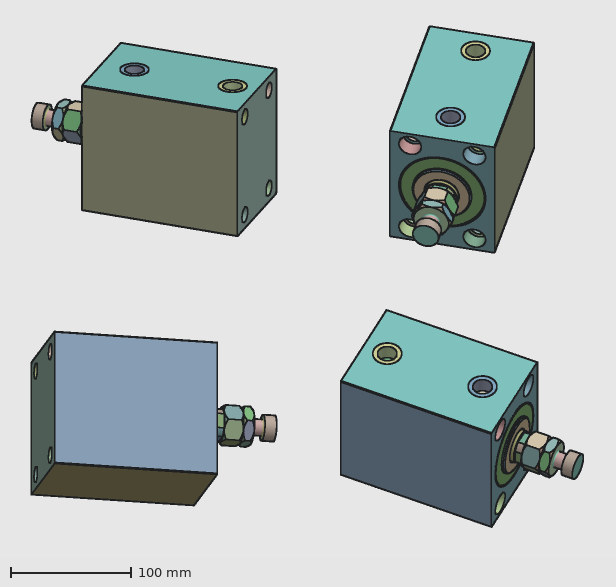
import cadquery as cq
import math

TOTAL_LENGTH = 196.5

BLOCK_START = 58.2
BLOCK_WIDTH = 90.0
BLOCK_HEIGHT = 115.0
BLOCK_LENGTH = TOTAL_LENGTH - BLOCK_START
BLOCK_EDGE_CHAMFER = 0.8
BORE_DIAMETER = 72.0
BORE_MOUTH_CHAMFER = 1.2
BORE_END_WALL = 7.9

MOUNT_SPACING_Y = 55.0
MOUNT_SPACING_Z = 90.0
MOUNT_HOLE_DIAMETER = 13.2
MOUNT_COUNTERBORE_DIAMETER = 19.0
MOUNT_COUNTERBORE_DEPTH = 13.8

FRONT_PORT_X = 87.5
PORT_SPACING = 87.5
PORT_SEAT_DIAMETER = 24.0
PORT_SEAT_DEPTH = 0.2
PORT_DIAMETER = 16.1
PORT_DEPTH = 13.8
PORT_PASSAGE_DIAMETER = 5.9

GLAND_COLLAR_START = 55.5
GLAND_COLLAR_DIAMETER = 50.3
GLAND_COLLAR_CHAMFER = 1.2
GLAND_END = 87.8
WIPER_RECESS_DIAMETER = 29.9
WIPER_RECESS_DEPTH = 2.0

ROD_DIAMETER = 28.0
ROD_NOSE_DIAMETER = 27.0
ROD_NOSE_START = 45.2
ROD_NOSE_END = 51.9
WRENCH_FLAT_WIDTH = 24.0
PISTON_END = TOTAL_LENGTH - BORE_END_WALL

HEAD_DIAMETER = 22.0
HEAD_LENGTH = 10.0
NECK_DIAMETER = 14.0
NECK_FILLET = 1.0
HEX_ACROSS_FLATS = 30.0
HEX_END_FACE_DIAMETER = 29.9
HEX_START = 19.6
HEX_SPLIT = 28.9
HEX_END = ROD_NOSE_START


def cylinder(diameter, start, end):
    """Cylinder on the X axis between two X positions."""
    return cq.Workplane("YZ", origin=(start, 0, 0)).circle(diameter / 2).extrude(end - start)


def vertical_hole(x, diameter, top, bottom):
    """Cutter for a vertical hole on the Y = 0 plane."""
    return cq.Workplane("XY", origin=(x, 0, bottom)).circle(diameter / 2).extrude(top - bottom)


def port_cutter(x):
    """Shallow sealing seat, blind port and narrow passage down into the bore."""
    top = BLOCK_HEIGHT / 2
    seat = vertical_hole(x, PORT_SEAT_DIAMETER, top, top - PORT_SEAT_DEPTH)
    port = vertical_hole(x, PORT_DIAMETER, top, top - PORT_DEPTH)
    passage = vertical_hole(x, PORT_PASSAGE_DIAMETER, top, 0)
    return seat.union(port).union(passage)


def make_housing():
    block = (
        cq.Workplane("YZ", origin=(BLOCK_START, 0, 0))
        .rect(BLOCK_WIDTH, BLOCK_HEIGHT)
        .extrude(BLOCK_LENGTH)
        .edges("|X")
        .chamfer(BLOCK_EDGE_CHAMFER)
    )
    block = (
        block.faces("<X")
        .workplane(origin=(BLOCK_START, 0, 0))
        .rect(MOUNT_SPACING_Y, MOUNT_SPACING_Z, forConstruction=True)
        .vertices()
        .cboreHole(MOUNT_HOLE_DIAMETER, MOUNT_COUNTERBORE_DIAMETER, MOUNT_COUNTERBORE_DEPTH)
    )
    for x in (FRONT_PORT_X, FRONT_PORT_X + PORT_SPACING):
        block = block.cut(port_cutter(x))
    bore = cylinder(BORE_DIAMETER, BLOCK_START, PISTON_END)
    mouth = cq.Workplane(
        cq.Solid.makeCone(
            BORE_DIAMETER / 2 + BORE_MOUTH_CHAMFER,
            BORE_DIAMETER / 2,
            BORE_MOUTH_CHAMFER,
            pnt=cq.Vector(BLOCK_START, 0, 0),
            dir=cq.Vector(1, 0, 0),
        )
    )
    return block.cut(bore).cut(mouth)


def make_gland():
    collar = cylinder(GLAND_COLLAR_DIAMETER, GLAND_COLLAR_START, BLOCK_START)
    collar = collar.faces("<X").chamfer(GLAND_COLLAR_CHAMFER)
    plug = cylinder(BORE_DIAMETER, BLOCK_START, GLAND_END)
    rod_hole = cylinder(ROD_DIAMETER, GLAND_COLLAR_START, GLAND_END)
    recess_end = GLAND_COLLAR_START + WIPER_RECESS_DEPTH
    wiper_recess = cylinder(WIPER_RECESS_DIAMETER, GLAND_COLLAR_START, recess_end)
    return collar.union(plug).cut(rod_hole).cut(wiper_recess)


def make_piston_rod():
    """Nose with four wrench flats, rod with a chamfered shoulder, and piston filling the bore."""
    flats = cq.Workplane("YZ", origin=(ROD_NOSE_START, 0, 0)).rect(WRENCH_FLAT_WIDTH, WRENCH_FLAT_WIDTH)
    flats = flats.extrude(ROD_NOSE_END - ROD_NOSE_START)
    nose = cylinder(ROD_NOSE_DIAMETER, ROD_NOSE_START, ROD_NOSE_END).intersect(flats)
    shoulder_chamfer = (ROD_DIAMETER - ROD_NOSE_DIAMETER) / 2
    rod = cylinder(ROD_DIAMETER, ROD_NOSE_END, GLAND_END).faces("<X").chamfer(shoulder_chamfer)
    piston = cylinder(BORE_DIAMETER, GLAND_END, PISTON_END)
    return nose.union(rod).union(piston)


def make_hexagon(start, end):
    """Hexagon with corners toward +Y and -Y, its corners chamfered at 45 degrees on both ends."""
    across_corners = HEX_ACROSS_FLATS / math.cos(math.radians(30))
    corner_chamfer = (across_corners - HEX_END_FACE_DIAMETER) / 2
    prism = cq.Workplane("YZ", origin=(start, 0, 0)).polygon(6, across_corners).extrude(end - start)
    envelope = cylinder(across_corners, start, end).faces("<X or >X").chamfer(corner_chamfer)
    return prism.intersect(envelope)


def make_coupling_stud():
    """Round head and filleted neck on two stacked hexagons."""
    head_radius = HEAD_DIAMETER / 2
    neck_radius = NECK_DIAMETER / 2
    fillet_radius = neck_radius + NECK_FILLET
    bulge = NECK_FILLET * (1 - math.sqrt(0.5))
    shank = (
        cq.Workplane("XY")
        .lineTo(0, head_radius)
        .lineTo(HEAD_LENGTH, head_radius)
        .lineTo(HEAD_LENGTH, fillet_radius)
        .threePointArc(
            (HEAD_LENGTH + bulge, neck_radius + bulge),
            (HEAD_LENGTH + NECK_FILLET, neck_radius),
        )
        .lineTo(HEX_START - NECK_FILLET, neck_radius)
        .threePointArc(
            (HEX_START - bulge, neck_radius + bulge),
            (HEX_START, fillet_radius),
        )
        .lineTo(HEX_START, 0)
        .close()
        .revolve(360, (0, 0, 0), (1, 0, 0))
    )
    return shank.union(make_hexagon(HEX_START, HEX_SPLIT)).union(make_hexagon(HEX_SPLIT, HEX_END))


housing = make_housing()
gland = make_gland()
piston_rod = make_piston_rod()
coupling_stud = make_coupling_stud()

result = cq.Compound.makeCompound(
    [housing.val(), gland.val(), piston_rod.val(), coupling_stud.val()]
)